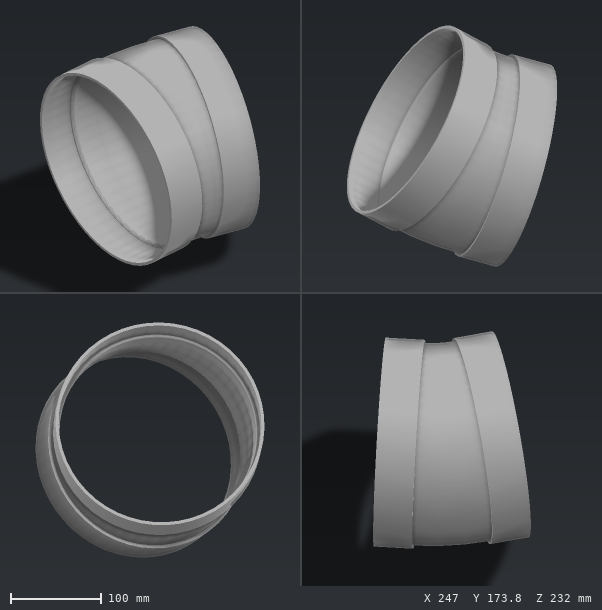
import cadquery as cq
import math

bend_angle = 15.0
bend_radius = 225.0
pipe_diameter = 225.0
wall = 3.7
socket_wall = 3.5
socket_length = 43.5

pipe_radius = pipe_diameter / 2
bore_radius = pipe_radius - wall
socket_radius = pipe_radius + socket_wall

angle = math.radians(bend_angle)
bend_start = cq.Vector(0, socket_length, 0)
bend_end = bend_start + cq.Vector(1 - math.cos(angle), math.sin(angle), 0) * bend_radius
inlet_direction = cq.Vector(0, -1, 0)
outlet_direction = cq.Vector(math.sin(angle), math.cos(angle), 0)


def curved_pipe():
    """Hollow bend between the two sockets, turning about an axis parallel to Z."""
    return (
        cq.Workplane("XZ", origin=bend_start.toTuple())
        .circle(pipe_radius)
        .circle(bore_radius)
        .revolve(bend_angle, (bend_radius, 0, 0), (bend_radius, -1, 0))
    )


def socket(base, direction):
    """Socket ring running from the bend out to its mouth, with a rounded stop at its base."""
    radial = cq.Vector(0, 0, 1)
    section = cq.Plane(origin=base, xDir=radial, normal=radial.cross(direction))
    arc_offset = wall * math.sqrt(0.5)
    return (
        cq.Workplane(section)
        .moveTo(bore_radius, 0)
        .lineTo(socket_radius, 0)
        .lineTo(socket_radius, socket_length)
        .lineTo(pipe_radius, socket_length)
        .lineTo(pipe_radius, wall)
        .threePointArc((pipe_radius - arc_offset, arc_offset), (bore_radius, 0))
        .close()
        .revolve(360, (0, 0, 0), (0, 1, 0))
    )


inlet_socket = socket(bend_start, inlet_direction)
outlet_socket = socket(bend_end, outlet_direction)
result = curved_pipe().union(inlet_socket).union(outlet_socket)